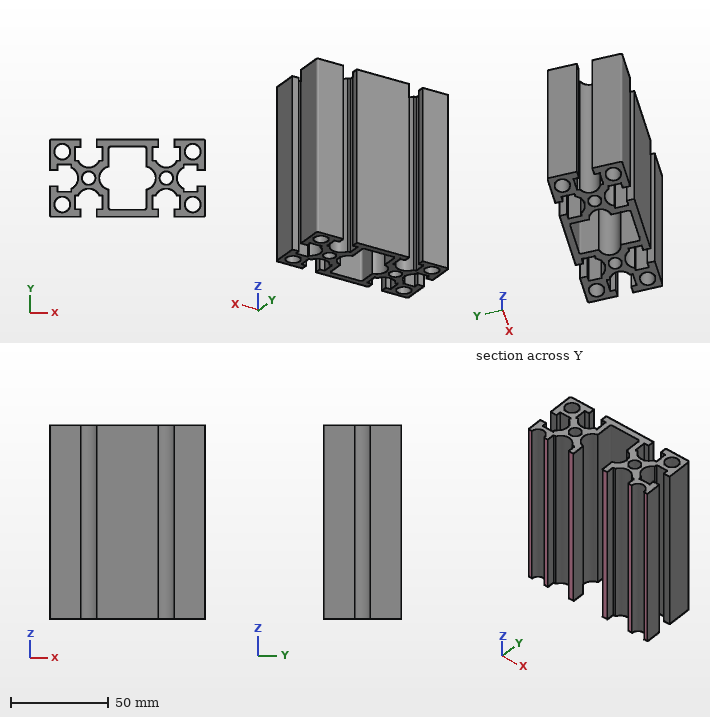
import cadquery as cq

WIDTH = 80.0
DEPTH = 40.0
LENGTH = 100.0
CORNER_RADIUS = 1.0

MODULE = DEPTH
CORE_X = (WIDTH - MODULE) / 2
CORE_HOLE_DIAMETER = 6.8

SLOT_MOUTH = 8.2
SLOT_WIDTH = 14.0
LIP_THICKNESS = 4.0
SHOULDER_DEPTH = 11.0

RELIEF_RADIUS = 6.0
CORE_TO_RELIEF = 5.5
RELIEF_OFFSET = CORE_TO_RELIEF + RELIEF_RADIUS

CORNER_HOLE_DIAMETER = 8.0
CORNER_HOLE_INSET = 6.4

CHAMBER_WIDTH = 19.4
CHAMBER_WALL = 3.8
CHAMBER_FILLET = 1.0


def t_slot():
    """Slot cutter for a core at the origin, opening toward +Y."""
    face = MODULE / 2
    mouth = cq.Workplane("XY").center(0, face).rect(SLOT_MOUTH, 2 * LIP_THICKNESS).extrude(LENGTH)
    pocket_height = SHOULDER_DEPTH - LIP_THICKNESS
    pocket_center = face - (LIP_THICKNESS + SHOULDER_DEPTH) / 2
    pocket = cq.Workplane("XY").center(0, pocket_center).rect(SLOT_WIDTH, pocket_height).extrude(LENGTH)
    relief = cq.Workplane("XY").center(0, RELIEF_OFFSET).circle(RELIEF_RADIUS).extrude(LENGTH)
    return mouth.union(pocket).union(relief)


def chamber():
    """Rounded central chamber, bulging toward both cores."""
    box = cq.Workplane("XY").rect(CHAMBER_WIDTH, DEPTH - 2 * CHAMBER_WALL).extrude(LENGTH)
    box = box.edges("|Z").fillet(CHAMBER_FILLET)
    relief_x = CORE_X - RELIEF_OFFSET
    reliefs = (
        cq.Workplane("XY")
        .pushPoints([(-relief_x, 0), (relief_x, 0)])
        .circle(RELIEF_RADIUS)
        .extrude(LENGTH)
    )
    return box.union(reliefs)


def round_holes(points, diameter):
    """Full-length round cutters at the given points."""
    return cq.Workplane("XY").pushPoints(points).circle(diameter / 2).extrude(LENGTH)


result = cq.Workplane("XY").rect(WIDTH, DEPTH).extrude(LENGTH).edges("|Z").fillet(CORNER_RADIUS)

for side in (-1, 1):
    for angle in (0, 180, -90 * side):
        slot = t_slot().rotate((0, 0, 0), (0, 0, 1), angle)
        result = result.cut(slot.translate((side * CORE_X, 0, 0)))

result = result.cut(chamber())

core_points = [(-CORE_X, 0), (CORE_X, 0)]
corner_x = WIDTH / 2 - CORNER_HOLE_INSET
corner_y = DEPTH / 2 - CORNER_HOLE_INSET
corner_points = [(sx * corner_x, sy * corner_y) for sx in (-1, 1) for sy in (-1, 1)]
result = result.cut(round_holes(core_points, CORE_HOLE_DIAMETER))
result = result.cut(round_holes(corner_points, CORNER_HOLE_DIAMETER))